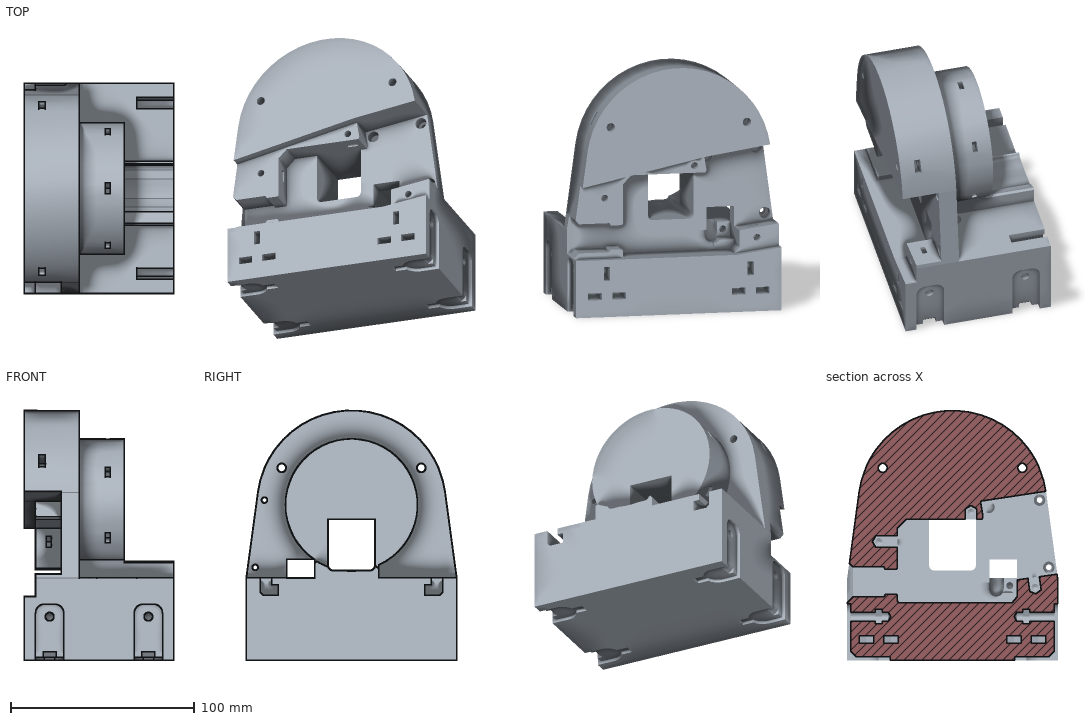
import cadquery as cq
import math

LENGTH = 81.8
HALF_WIDTH = 57.5
DECK_Z = 45.0
LEDGE_Z = 31.7
LEDGE_RISE = 3.3
LEDGE_BEND_Y = -32.6
STEP_X = 6.1
PLATE_X = 20.2
PLATE_BACK_X = 30.2
DRUM_BACK_X = 54.7
AXIS_Z = 84.9
ARCH_RADIUS = 51.6
DRUM_RADIUS = 36.0

RAIL_RIGHT_Y = -20.0
RAIL_LEFT_Y = 14.7
RAIL_TOP_Z = 54.2
CRADLE_RADIUS = 36.2

WINDOW_HALF = 12.7
WINDOW_BOTTOM_Z = 49.1
WINDOW_TOP_Z = 77.0
WINDOW_FILLET = 2.6
PORT_LEFT_Y = RAIL_RIGHT_Y
PORT_RIGHT_Y = -35.2
PORT_BOTTOM_Z = 36.7
PORT_TOP_Z = 55.1

CHANNEL_BOTTOM_Z = 34.8
CHANNEL_TOP_Z = 50.9
CHANNEL_END_Y = 30.0
FUNNEL = CHANNEL_BOTTOM_Z - LEDGE_Z

LARGE_HOLE, LARGE_NUT, LARGE_SLOT = 2.3, 7.6, 3.5
SMALL_HOLE, SMALL_NUT, SMALL_SLOT = 1.9, 6.0, 2.7
TIP_HALF_ANGLE = 59.0
SIDE_HOLE_X = 13.9
SIDE_HOLE_Z = 23.9
SIDE_NUT_Y = 40.3
SIDE_RECESS = 1.9


def slab(points, x_start, x_end):
    """Closed Y-Z outline extruded along X."""
    return cq.Workplane("YZ", origin=(x_start, 0, 0)).polyline(points).close().extrude(x_end - x_start)


def box(x, y, z):
    """Box given by its (low, high) limits on each axis."""
    size = [limits[1] - limits[0] for limits in (x, y, z)]
    return cq.Workplane("XY").box(*size, centered=False).translate((x[0], y[0], z[0]))


def rod(start, direction, radius, length):
    """Cylinder from a start point along a direction."""
    return cq.Workplane(obj=cq.Solid.makeCylinder(radius, length, cq.Vector(*start), cq.Vector(*direction)))


def drilled_hole(start, direction, radius, depth):
    """Blind hole with a conical tip."""
    tip = radius / math.tan(math.radians(TIP_HALF_ANGLE))
    end = cq.Vector(*start) + cq.Vector(*direction) * depth
    cone = cq.Solid.makeCone(radius, 0, tip, end, cq.Vector(*direction))
    return rod(start, direction, radius, depth).union(cq.Workplane(obj=cone))


def nut_slot(nut_center, opening, screw_axis, flats, thickness, reach):
    """Slot for a hexagonal nut: hexagonal seat, open in the given direction."""
    side = flats / math.sqrt(3)
    plane = cq.Plane(origin=nut_center, xDir=opening, normal=screw_axis)
    outline = [(-side, 0), (-side / 2, flats / 2), (reach, flats / 2),
               (reach, -flats / 2), (-side / 2, -flats / 2)]
    return cq.Workplane(plane).polyline(outline).close().extrude(thickness / 2, both=True)


def both_sides(shape):
    """The shape together with its mirror image across Y = 0."""
    return shape.union(shape.mirror("XZ"))


def arch(x_start, x_end, bottom_z):
    """Round-topped plate whose straight sides run tangent to the arc."""
    drop = AXIS_Z - DECK_Z
    corner_angle = math.atan2(drop, HALF_WIDTH)
    tangent_angle = math.acos(ARCH_RADIUS / math.hypot(drop, HALF_WIDTH)) - corner_angle
    tangent_y = ARCH_RADIUS * math.cos(tangent_angle)
    tangent_z = AXIS_Z + ARCH_RADIUS * math.sin(tangent_angle)
    return (cq.Workplane("YZ", origin=(x_start, 0, 0))
            .moveTo(-HALF_WIDTH, bottom_z)
            .lineTo(HALF_WIDTH, bottom_z)
            .lineTo(HALF_WIDTH, DECK_Z)
            .lineTo(tangent_y, tangent_z)
            .threePointArc((0, AXIS_Z + ARCH_RADIUS), (-tangent_y, tangent_z))
            .lineTo(-HALF_WIDTH, DECK_Z)
            .close()
            .extrude(x_end - x_start))


ledge = slab([(-HALF_WIDTH, 0), (HALF_WIDTH, 0), (HALF_WIDTH, LEDGE_Z),
              (LEDGE_BEND_Y, LEDGE_Z), (-HALF_WIDTH, LEDGE_Z + LEDGE_RISE)], 0, PLATE_BACK_X)
deck = box((PLATE_BACK_X, LENGTH), (-HALF_WIDTH, HALF_WIDTH), (0, DECK_Z))

EDGE_Y = HALF_WIDTH + 1.4
TOP_Z = AXIS_Z + ARCH_RADIUS
SHROUD_LEFT = (53.6, 72.1)
SHROUD_BEND = (-15.4, 86.8)
SHROUD_RIGHT = (-50.6, 92.1)
shroud_zone = slab([(EDGE_Y, 71.0), SHROUD_LEFT, SHROUD_BEND, SHROUD_RIGHT,
                    (-EDGE_Y, 93.4), (-EDGE_Y, TOP_Z), (EDGE_Y, TOP_Z)], 0, PLATE_X)
hanging_block_zone = slab([(EDGE_Y, SHROUD_LEFT[1]), SHROUD_BEND, (-16.8, 78.4), (-16.2, WINDOW_TOP_Z),
                           (25.3, WINDOW_TOP_Z), (CHANNEL_END_Y, 72.1), (CHANNEL_END_Y, 50.2),
                           (30.7, 49.5), (36.7, 49.5), (37.5, CHANNEL_TOP_Z), (EDGE_Y, CHANNEL_TOP_Z)],
                          STEP_X, PLATE_X)
upper = arch(0, PLATE_X, LEDGE_Z).intersect(shroud_zone.union(hanging_block_zone))
plate = arch(PLATE_X, PLATE_BACK_X, LEDGE_Z)

left_pad = slab([(HALF_WIDTH, LEDGE_Z), (HALF_WIDTH, CHANNEL_BOTTOM_Z), (37.5, CHANNEL_BOTTOM_Z),
                 (36.7, 36.2), (30.7, 36.2), (CHANNEL_END_Y, 35.5), (CHANNEL_END_Y, 32.5),
                 (29.3, LEDGE_Z)], STEP_X, PLATE_X)
PAD_INNER_Z = 44.1
PAD_OUTER_Z = 47.2
right_pad = slab([(-HALF_WIDTH, LEDGE_Z), (LEDGE_BEND_Y, LEDGE_Z), (PORT_RIGHT_Y, 34.8),
                  (PORT_RIGHT_Y, PAD_INNER_Z), (-HALF_WIDTH, PAD_OUTER_Z)], STEP_X, PLATE_X)
right_pad = right_pad.intersect(arch(0, PLATE_X, LEDGE_Z))

drum = rod((PLATE_BACK_X, 0, AXIS_Z), (1, 0, 0), DRUM_RADIUS, DRUM_BACK_X - PLATE_BACK_X)
support = box((PLATE_BACK_X, DRUM_BACK_X), (RAIL_RIGHT_Y, RAIL_LEFT_Y), (DECK_Z, AXIS_Z - DRUM_RADIUS / 2))
RAIL_RIGHT_SHOULDER_Z = 53.2
RAIL_RIGHT_BEVEL = 1.4
RAIL_LEFT_BEVEL = 4.1
rail = slab([(RAIL_RIGHT_Y, DECK_Z), (RAIL_RIGHT_Y, RAIL_RIGHT_SHOULDER_Z),
             (RAIL_RIGHT_Y + RAIL_RIGHT_BEVEL, RAIL_TOP_Z), (RAIL_LEFT_Y - RAIL_LEFT_BEVEL, RAIL_TOP_Z),
             (RAIL_LEFT_Y, RAIL_TOP_Z - RAIL_LEFT_BEVEL), (RAIL_LEFT_Y, DECK_Z)],
            DRUM_BACK_X, LENGTH)
rail = rail.cut(rod((DRUM_BACK_X, 0, AXIS_Z), (1, 0, 0), CRADLE_RADIUS, LENGTH - DRUM_BACK_X))

body = ledge.union(deck).union(upper).union(plate).union(left_pad).union(right_pad)
body = body.union(drum).union(support).union(rail)

window = box((PLATE_X, LENGTH), (-WINDOW_HALF, WINDOW_HALF), (WINDOW_BOTTOM_Z, WINDOW_TOP_Z))
window = window.edges("|X and <Z").fillet(WINDOW_FILLET)
port = box((PLATE_X, PLATE_BACK_X), (PORT_RIGHT_Y, PORT_LEFT_Y), (PORT_BOTTOM_Z, PORT_TOP_Z))
body = body.cut(window).cut(port)

DUCT_RADIUS = 4.0
DUCT_Y = PORT_LEFT_Y - DUCT_RADIUS
DUCT_Z = 38.9
DUCT_BEND_X = 27.5
DUCT_BEND = 8.5
duct_run = rod((PLATE_X, DUCT_Y, DUCT_Z), (1, 0, 0), DUCT_RADIUS, DUCT_BEND_X - PLATE_X)
duct_turn = (cq.Workplane("YZ", origin=(DUCT_BEND_X, DUCT_Y, DUCT_Z))
             .circle(DUCT_RADIUS)
             .revolve(90, (1.4, DUCT_BEND), (0, DUCT_BEND)))
duct_opening = (cq.Workplane("XZ", origin=(0, PORT_LEFT_Y, 0))
                .moveTo(PLATE_X, DUCT_Z)
                .lineTo(DUCT_BEND_X, DUCT_Z)
                .radiusArc((DUCT_BEND_X + DUCT_BEND, DUCT_Z + DUCT_BEND), -DUCT_BEND)
                .lineTo(PLATE_X, DUCT_Z + DUCT_BEND)
                .close()
                .extrude(2 * DUCT_RADIUS))

LIP_RADIUS = 4.9
LIP_TOP_Z = 42.6


def lip_profile():
    """Corner between the plate face and the duct wall that the rounding removes."""
    return (cq.Workplane("XY", origin=(0, 0, DUCT_Z))
            .moveTo(PLATE_X, PORT_LEFT_Y)
            .lineTo(PLATE_X, PORT_LEFT_Y + LIP_RADIUS)
            .radiusArc((PLATE_X + LIP_RADIUS, PORT_LEFT_Y), -LIP_RADIUS)
            .close())


straight_lip = lip_profile().extrude(LIP_TOP_Z - DUCT_Z)
turned_lip = lip_profile().revolve(90, (1.4, DUCT_Y), (0, DUCT_Y))
above_ledge = box((PLATE_X, LENGTH), (-HALF_WIDTH, HALF_WIDTH), (LEDGE_Z, DECK_Z))
lip = straight_lip.union(turned_lip.intersect(above_ledge))
duct = duct_run.union(duct_turn).union(duct_opening)
body = body.cut(duct).cut(lip)

mouth = (cq.Workplane("XZ", origin=(0, HALF_WIDTH - FUNNEL, 0))
         .moveTo(STEP_X, CHANNEL_BOTTOM_Z).lineTo(PLATE_X, CHANNEL_BOTTOM_Z)
         .lineTo(PLATE_X, CHANNEL_TOP_Z).lineTo(STEP_X, CHANNEL_TOP_Z).close()
         .workplane(offset=-FUNNEL)
         .moveTo(STEP_X, CHANNEL_BOTTOM_Z - FUNNEL)
         .lineTo(PLATE_X + FUNNEL, CHANNEL_BOTTOM_Z - FUNNEL)
         .lineTo(PLATE_X + FUNNEL, CHANNEL_TOP_Z + FUNNEL)
         .lineTo(STEP_X, CHANNEL_TOP_Z + FUNNEL).close()
         .loft(ruled=True))
body = body.cut(mouth)

SHROUD_HOLE_Y = 38.1
SHROUD_HOLE_RISE = 20.2
SHROUD_NUT_X = 9.8
shroud_radius = math.hypot(SHROUD_HOLE_Y, SHROUD_HOLE_RISE)
shroud_hole_z = AXIS_Z + SHROUD_HOLE_RISE
shroud_screw = rod((0, SHROUD_HOLE_Y, shroud_hole_z), (1, 0, 0), LARGE_HOLE, PLATE_BACK_X)
shroud_nut = nut_slot((SHROUD_NUT_X, SHROUD_HOLE_Y, shroud_hole_z), (0, SHROUD_HOLE_Y, SHROUD_HOLE_RISE),
                      (1, 0, 0), LARGE_NUT, LARGE_SLOT, ARCH_RADIUS - shroud_radius + 1.4)
body = body.cut(both_sides(shroud_screw.union(shroud_nut)))

DRUM_NUT_X = 45.6
DRUM_NUT_RADIUS = 32.5
DRUM_NUT_REACH = 5.5
for angle in (-30, 30, 90, 150, 210):
    radial = (0, math.cos(math.radians(angle)), math.sin(math.radians(angle)))
    nut_center = (DRUM_NUT_X, DRUM_NUT_RADIUS * radial[1], AXIS_Z + DRUM_NUT_RADIUS * radial[2])
    body = body.cut(nut_slot(nut_center, radial, (1, 0, 0), SMALL_NUT, SMALL_SLOT, DRUM_NUT_REACH))

BLOCK_NUT_X = 13.5
BLOCK_NUT_REACH = 10.9
SMALL_DEPTH = 10.2
PAD_TILT = math.atan2(PAD_OUTER_Z - PAD_INNER_Z, HALF_WIDTH + PORT_RIGHT_Y)
block_screws = [
    (40.1, 64.8, (0, -1, 0)),
    (-10.1, 81.0, (0, 0, -1)),
    (-45.0, 39.9, (0, math.sin(PAD_TILT), math.cos(PAD_TILT))),
]
for y, z, opening in block_screws:
    body = body.cut(drilled_hole((STEP_X, y, z), (1, 0, 0), SMALL_HOLE, SMALL_DEPTH))
    body = body.cut(nut_slot((BLOCK_NUT_X, y, z), opening, (1, 0, 0), SMALL_NUT, SMALL_SLOT, BLOCK_NUT_REACH))
body = body.cut(drilled_hole((PLATE_BACK_X, -31.3, 40.8), (1, 0, 0), SMALL_HOLE, SMALL_DEPTH))

PLATE_HOLE_RADIUS = 1.5
BORE_RADIUS = 3.1
BORE_DEPTH = 5.5
for y, z in [(-47.5, 87.5), (-52.5, 50.8)]:
    body = body.cut(rod((PLATE_X, y, z), (1, 0, 0), PLATE_HOLE_RADIUS, PLATE_BACK_X - PLATE_X))
    body = body.cut(rod((PLATE_X, y, z), (1, 0, 0), BORE_RADIUS, BORE_DEPTH))
body = body.cut(rod((PLATE_X, -19.9, 83.5), (1, 0, 0), BORE_RADIUS, BORE_DEPTH))

RECESS_WIDTH = 15.4
RECESS_TOP_Z = 30.7
RECESS_FILLET = 4.9
FOOT_Z = 1.8
FOOT_CENTER_Y = -47.6
LATCH_WIDTH = 7.1
LATCH_RISE = 3.0
NECK_WIDTH = 5.7
NECK_END_Y = -34.1
SIDE_HOLE_DEPTH = 20.5
RECESS_FACE_Y = -HALF_WIDTH + SIDE_RECESS


def side_recess(x):
    """Recess around one side screw on the -Y side."""
    half = RECESS_WIDTH / 2
    recess = box((x - half, x + half), (-HALF_WIDTH, RECESS_FACE_Y), (0, RECESS_TOP_Z))
    recess = recess.edges("|Y and >Z").fillet(RECESS_FILLET)
    foot = box((x - half, x + half), (-HALF_WIDTH, FOOT_CENTER_Y), (0, FOOT_Z))
    foot_end = rod((x, FOOT_CENTER_Y, 0), (0, 0, 1), half, FOOT_Z)
    neck = box((x - NECK_WIDTH / 2, x + NECK_WIDTH / 2), (FOOT_CENTER_Y, NECK_END_Y), (0, FOOT_Z))
    latch = (cq.Workplane("YZ", origin=(x - LATCH_WIDTH / 2, 0, 0))
             .polyline([(RECESS_FACE_Y, FOOT_Z), (RECESS_FACE_Y, FOOT_Z + LATCH_RISE),
                        (RECESS_FACE_Y + LATCH_RISE, FOOT_Z)])
             .close().extrude(LATCH_WIDTH))
    screw = drilled_hole((x, RECESS_FACE_Y, SIDE_HOLE_Z), (0, 1, 0), LARGE_HOLE, SIDE_HOLE_DEPTH)
    return recess.union(foot).union(foot_end).union(neck).union(latch).union(screw)


for x in (SIDE_HOLE_X, LENGTH - SIDE_HOLE_X):
    body = body.cut(both_sides(side_recess(x)))

FLOOR_NUT_Z = 11.5
FLOOR_NUT_YS = (47.0, 33.5)
FLOOR_NUT_THICKNESS = 3.8
front_nuts = nut_slot((SIDE_HOLE_X, SIDE_NUT_Y, SIDE_HOLE_Z), (-1, 0, 0), (0, 1, 0),
                      LARGE_NUT, LARGE_SLOT, SIDE_HOLE_X)
for y in FLOOR_NUT_YS:
    front_nuts = front_nuts.union(nut_slot((SIDE_HOLE_X, y, FLOOR_NUT_Z), (-1, 0, 0), (0, 0, 1),
                                           LARGE_NUT, FLOOR_NUT_THICKNESS, SIDE_HOLE_X))
body = body.cut(both_sides(front_nuts))

SLOT_START_X = 61.5
SLOT_OUTER_Y = 49.7
SLOT_INNER_Y = 43.5
SLOT_UNDERCUT = 3.5
SLOT_LIP_Z = 41.4
SLOT_FLOOR_Z = 35.5
SLOT_BEVEL = 1.6
deck_slot = slab([(SLOT_INNER_Y, DECK_Z), (SLOT_OUTER_Y, DECK_Z), (SLOT_OUTER_Y, SLOT_FLOOR_Z + SLOT_BEVEL),
                  (SLOT_OUTER_Y - SLOT_BEVEL, SLOT_FLOOR_Z), (SLOT_INNER_Y - SLOT_UNDERCUT, SLOT_FLOOR_Z),
                  (SLOT_INNER_Y - SLOT_UNDERCUT, SLOT_LIP_Z), (SLOT_INNER_Y, SLOT_LIP_Z)],
                 SLOT_START_X, LENGTH)
result = body.cut(both_sides(deck_slot))